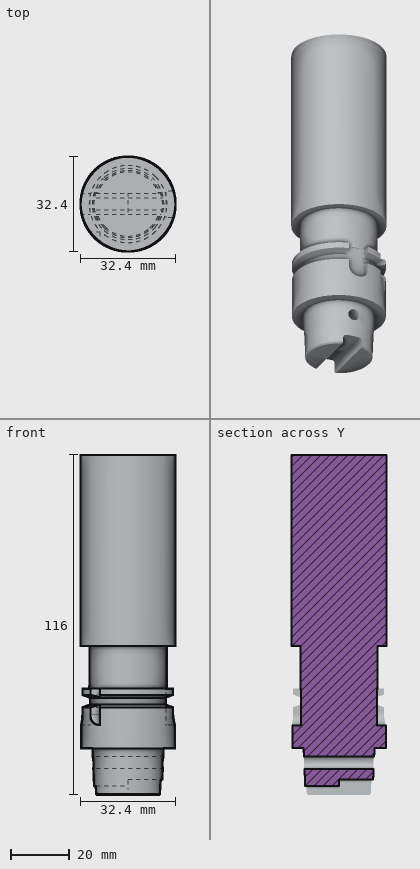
import cadquery as cq

total_height = 116.0
taper_top = 16.0
groove_bottom = 29.9
groove_floor_bottom = 31.0
groove_floor_top = 33.2
groove_top = 34.2
flange_top = 36.3
head_bottom = 50.8

head_radius = 16.2
shaft_radius = 13.2
flange_radius = 16.0
taper_large_radius = 12.2
taper_small_radius = 11.5
end_chamfer = 0.5

keyway_bottom = 23.9
keyway_radius = 3.6
wide_keyway_radius = 4.5
keyway_floor = 13.0
notch_wall = 9.5

drive_slot_width = 2 * keyway_radius
left_slot_depth = 3.1
right_slot_depth = 5.3
slot_corner_radius = 1.0
cross_hole_diameter = 4.1
cross_hole_z = 11.1


def turned_body():
    profile = [
        (0, 0),
        (taper_small_radius - end_chamfer, 0),
        (taper_small_radius, end_chamfer),
        (taper_large_radius, taper_top),
        (flange_radius, taper_top),
        (flange_radius, groove_bottom),
        (shaft_radius, groove_floor_bottom),
        (shaft_radius, groove_floor_top),
        (flange_radius, groove_top),
        (flange_radius, flange_top),
        (shaft_radius, flange_top),
        (shaft_radius, head_bottom),
        (head_radius, head_bottom),
        (head_radius, total_height),
        (0, total_height),
    ]
    return cq.Workplane("XZ").polyline(profile).close().revolve(360, (0, 0), (0, 1))


def keyway(side, floor, center_y, radius):
    """U-shaped cutter running outward along X from the floor, open at the flange top."""
    arc_center_z = keyway_bottom + radius
    return (
        cq.Workplane("YZ", origin=(side * floor, center_y, 0))
        .moveTo(-radius, flange_top)
        .lineTo(-radius, arc_center_z)
        .threePointArc((0, keyway_bottom), (radius, arc_center_z))
        .lineTo(radius, flange_top)
        .close()
        .extrude(side * flange_radius)
    )


def drive_slot(side, depth):
    """Slot from the axis outward, open at the bottom, with rounded upper corners."""
    return (
        cq.Workplane("XY")
        .box(head_radius, drive_slot_width, depth, centered=(False, True, False))
        .edges("|X and >Z")
        .fillet(slot_corner_radius)
        .translate((0 if side > 0 else -head_radius, 0, 0))
    )


def cross_hole():
    return (
        cq.Workplane("YZ")
        .center(0, cross_hole_z)
        .circle(cross_hole_diameter / 2)
        .extrude(head_radius, both=True)
    )


result = (
    turned_body()
    .cut(keyway(-1, keyway_floor, 0, keyway_radius))
    .cut(keyway(1, keyway_floor, 0, wide_keyway_radius))
    .cut(keyway(-1, notch_wall, -notch_wall - keyway_radius, keyway_radius))
    .cut(drive_slot(-1, left_slot_depth))
    .cut(drive_slot(1, right_slot_depth))
    .cut(cross_hole())
)